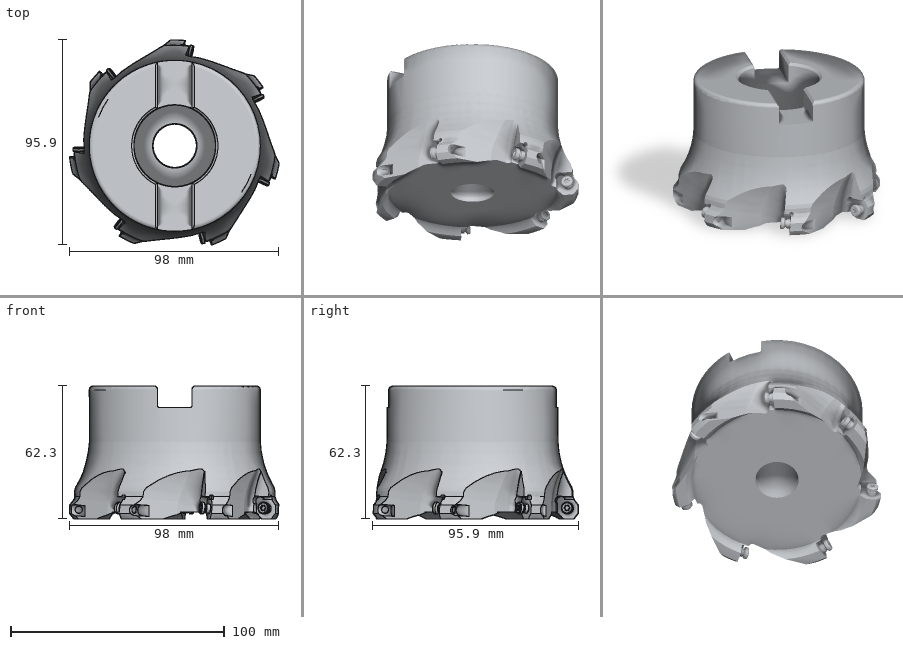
import cadquery as cq
import math

tooth_angles = [180, 129.2, 78.3, 27.4, -24.3, -75.7, -127.7]
axial_rake = 5

total_height = 62.3
hub_radius = 40.0
hub_edge_radius = 2
hub_bottom_z = 36.2
flare_mid_radius = 41.3
flare_mid_z = 27.3

rim_top_radius = 46.6
rim_top_z = 14.7
shoulder_radius = 47.1
shoulder_top_z = 12.8
shoulder_bottom_z = 10.5
bevel_radius = 47.9
bevel_z = 8.6
tip_radius = 49.5
tip_top_z = 6.6
tip_bottom_z = 2.6
foot_outer_radius = 47.5
foot_inner_radius = 42.7
web_bottom_z = 3.2

bore_radius = 19.0
bore_depth = 30.4
bore_chamfer = 1.2
relief_depth = 0.2
relief_top = 6.3
relief_bottom = 15.7
bolt_hole_radius = 10.1
bolt_hole_chamfer = 0.3
slot_width = 16.1
slot_depth = 10.0
slot_chamfer = 1.1
slot_fillet = 0.8

wall_y = 1.7
back_floor_x = 39.6
back_floor_break_z = 7.3
deep_floor_x = 37.8
deep_floor_break_z = 5.5
deep_floor_turn = 11.5
floor_arc_radius = 39.2
gullet_fillet = 2
gullet_top_z = 39.2
gullet_length = 44.1
gullet_outer_x = 68.6
gullet_low_z = -14.7

seat_y = 4.9
screw_x = 44.9
screw_z = 5.3
seat_apothem = 5.4
seat_relief_radius = 1.1
corner_relief_x = 41.2
corner_relief_z = 8.8
corner_relief_radius = 2.2
back_slot_y = 10.2
back_slot_floor_x = 42.1
back_slot_height = 5.1
back_slot_length = 14.7
shank_radius = 1.7
neck_radius = 1.7
neck_length = 0.5
collar_radius = 2.2
head_radius = 2.7
head_front_y = 0.3
head_bevel = 0.4
head_length = 1.6
head_taper_length = 0.7
socket_radius = 1.1
socket_lobe_radius = 0.34
socket_lobes = 6
socket_depth = 1


def rake(shape):
    """Lean a tooth feature back about the radial axis of its tooth."""
    return shape.rotate((0, 0, 0), (1, 0, 0), -axial_rake)


def at_tooth(shape, angle):
    """Turn a feature of the +X tooth to the tooth at the given angle."""
    return shape.rotate((0, 0, 0), (0, 0, 1), angle)


def cylinder_along_y(x, z, y_start, y_end, radius):
    """Cylinder with its axis along Y, running from y_start back to y_end."""
    plane = cq.Workplane("XZ", origin=(x, y_start, z))
    return plane.circle(radius).extrude(y_start - y_end)


def make_blank():
    """Revolved cutter blank with the arbor bore and the hollow underside."""
    web_outer_radius = foot_inner_radius - web_bottom_z
    bore_floor_z = total_height - bore_depth
    profile = (
        cq.Workplane("XZ")
        .moveTo(bolt_hole_radius, web_bottom_z)
        .lineTo(web_outer_radius, web_bottom_z)
        .lineTo(foot_inner_radius, 0)
        .lineTo(foot_outer_radius, 0)
        .lineTo(tip_radius, tip_bottom_z)
        .lineTo(tip_radius, tip_top_z)
        .lineTo(bevel_radius, bevel_z)
        .lineTo(shoulder_radius, shoulder_bottom_z)
        .lineTo(shoulder_radius, shoulder_top_z)
        .lineTo(rim_top_radius, rim_top_z)
        .threePointArc((flare_mid_radius, flare_mid_z), (hub_radius, hub_bottom_z))
        .lineTo(hub_radius, total_height - hub_edge_radius)
        .radiusArc((hub_radius - hub_edge_radius, total_height), -hub_edge_radius)
        .lineTo(bore_radius + bore_chamfer, total_height)
        .lineTo(bore_radius, total_height - bore_chamfer)
        .lineTo(bore_radius, total_height - relief_top)
        .lineTo(bore_radius + relief_depth, total_height - relief_top)
        .lineTo(bore_radius + relief_depth, total_height - relief_bottom)
        .lineTo(bore_radius, total_height - relief_bottom)
        .lineTo(bore_radius, bore_floor_z)
        .lineTo(bolt_hole_radius + bolt_hole_chamfer, bore_floor_z)
        .lineTo(bolt_hole_radius, bore_floor_z - bolt_hole_chamfer)
        .close()
    )
    return profile.revolve(360, (0, 0, 0), (0, 1, 0))


def make_drive_slot():
    """Slot across the top along Y, filleted at its floor and chamfered at its mouth."""
    length = 3 * hub_radius
    channel = (
        cq.Workplane("XY", origin=(0, 0, total_height - slot_depth))
        .rect(slot_width, length)
        .extrude(slot_depth)
        .edges("|Y and <Z")
        .fillet(slot_fillet)
    )
    half_width = slot_width / 2
    mouth = (
        cq.Workplane("XZ", origin=(0, length / 2, 0))
        .moveTo(-half_width, total_height - slot_chamfer)
        .lineTo(half_width, total_height - slot_chamfer)
        .lineTo(half_width + slot_chamfer, total_height)
        .lineTo(-half_width - slot_chamfer, total_height)
        .close()
        .extrude(length)
    )
    return channel.union(mouth)


def gullet_prism(floor_x, break_z, y_end):
    """Space outside a floor that is upright below break_z and curves outward above it."""
    arc_angle = math.asin((gullet_top_z - break_z) / floor_arc_radius)

    def floor_point(angle):
        return (floor_x + floor_arc_radius * (1 - math.cos(angle)),
                break_z + floor_arc_radius * math.sin(angle))

    return (
        cq.Workplane("XZ", origin=(0, y_end, 0))
        .moveTo(floor_x, gullet_low_z)
        .lineTo(floor_x, break_z)
        .threePointArc(floor_point(arc_angle / 2), floor_point(arc_angle))
        .lineTo(gullet_outer_x, gullet_top_z)
        .lineTo(gullet_outer_x, gullet_low_z)
        .close()
        .extrude(gullet_length)
    )


def make_gullet_back():
    """Rear part of the chip space, cut flat across the back of the tooth ahead."""
    return rake(gullet_prism(back_floor_x, back_floor_break_z, wall_y))


def make_gullet_front():
    """Front part of the chip space, deepening towards the wall and filleted against it."""
    deep_part = gullet_prism(deep_floor_x, deep_floor_break_z, wall_y + gullet_length / 2)
    deep_part = deep_part.rotate((deep_floor_x, 0, 0), (deep_floor_x, 0, 1), deep_floor_turn)
    beyond_wall = (
        cq.Workplane("XZ", origin=(gullet_outer_x, wall_y, 0))
        .rect(2 * gullet_outer_x, 3 * gullet_top_z)
        .extrude(-gullet_length)
    )
    deep_part = deep_part.cut(beyond_wall)
    return rake(deep_part.faces(">Y").edges("<X").fillet(gullet_fillet))


def make_seat_pocket():
    """Insert pocket with half-octagon walls above and inward, open below and outward."""
    half_side = seat_apothem * math.tan(math.pi / 8)
    outline = [
        (-seat_apothem, -2 * seat_apothem),
        (2 * seat_apothem, -2 * seat_apothem),
        (2 * seat_apothem, seat_apothem),
        (-half_side, seat_apothem),
        (-seat_apothem, half_side),
    ]
    pocket = (
        cq.Workplane("XZ", origin=(screw_x, seat_y, screw_z))
        .polyline(outline)
        .close()
        .extrude(2 * seat_y)
    )
    relief = (
        cq.Workplane("YZ", origin=(screw_x - half_side, seat_y, screw_z + seat_apothem))
        .circle(seat_relief_radius)
        .extrude(2 * seat_apothem)
    )
    corner = cylinder_along_y(corner_relief_x, corner_relief_z, 0, seat_y, corner_relief_radius)
    return rake(pocket.union(relief).union(corner))


def make_screw_hole():
    """Screw hole that opens into a round-ended radial slot in the back of the tooth."""
    end_radius = back_slot_height / 2
    end_center_y = back_slot_y + end_radius
    hole = cylinder_along_y(screw_x, screw_z, seat_y, end_center_y, shank_radius)
    back_slot = (
        cq.Workplane("YZ", origin=(back_slot_floor_x, 0, screw_z))
        .moveTo(end_center_y + back_slot_length, -end_radius)
        .lineTo(end_center_y, -end_radius)
        .threePointArc((back_slot_y, 0), (end_center_y, end_radius))
        .lineTo(end_center_y + back_slot_length, end_radius)
        .close()
        .extrude(tip_radius - back_slot_floor_x)
    )
    return rake(hole.union(back_slot))


def make_screw():
    """Clamp screw with a lobed socket, a tapered head, a neck and a shank."""
    head_back_y = head_front_y + head_length
    neck_y = head_back_y + head_taper_length
    collar_y = neck_y + neck_length
    profile = [
        (0, head_front_y),
        (head_radius - head_bevel, head_front_y),
        (head_radius, head_front_y + head_bevel),
        (head_radius, head_back_y),
        (neck_radius, neck_y),
        (neck_radius, collar_y),
        (collar_radius, collar_y),
        (collar_radius, seat_y),
        (shank_radius, seat_y),
        (shank_radius, back_slot_y),
        (0, back_slot_y),
    ]
    screw = cq.Workplane("XY").polyline(profile).close().revolve(360, (0, 0, 0), (0, 1, 0))
    socket_end_y = head_front_y + socket_depth
    socket = cylinder_along_y(0, 0, head_front_y, socket_end_y, socket_radius)
    for lobe in range(socket_lobes):
        angle = 2 * math.pi * lobe / socket_lobes
        lobe_x = socket_radius * math.cos(angle)
        lobe_z = socket_radius * math.sin(angle)
        socket = socket.union(
            cylinder_along_y(lobe_x, lobe_z, head_front_y, socket_end_y, socket_lobe_radius)
        )
    return rake(screw.cut(socket).translate((screw_x, 0, screw_z)))


body = make_blank().cut(make_drive_slot())
tooth_cutters = [make_gullet_back(), make_gullet_front(), make_seat_pocket(), make_screw_hole()]
for angle in tooth_angles:
    for cutter in tooth_cutters:
        body = body.cut(at_tooth(cutter, angle))

screw = make_screw()
screws = [at_tooth(screw, angle).val() for angle in tooth_angles]

result = cq.Compound.makeCompound([body.val(), *screws])